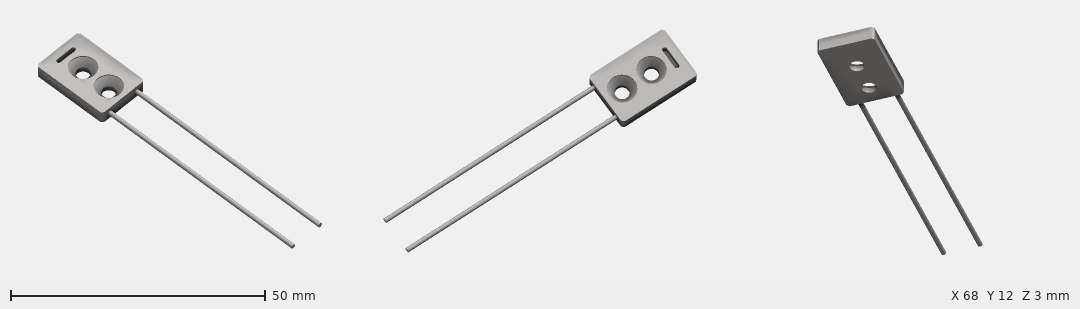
import cadquery as cq

total_length = 68.0
plate_length = 18.0
plate_width = 12.0
plate_thickness = 3.0
corner_chamfer = 0.5

hole_diameter = 3.0
countersink_diameter = 6.0
rim_depth = 0.3
cone_depth = 1.5
first_hole_x = 7.0
hole_spacing = 7.0
hole_count = 2

marker_x = 2.4
marker_width = 1.0
marker_end_spacing = 4.15
marker_slot_depth = 1.5
marker_hole_depth = 2.0

lead_diameter = 1.0
lead_spacing = 7.6
lead_offset_y = -0.1
lead_length = total_length - plate_length


def screw_hole_cutter(x):
    """Solid of revolution: straight rim, cone, then a through hole."""
    hole_radius = hole_diameter / 2
    countersink_radius = countersink_diameter / 2
    cone_top = plate_thickness - rim_depth
    cone_bottom = cone_top - cone_depth
    profile = (
        cq.Workplane("XZ")
        .moveTo(0, 0)
        .lineTo(hole_radius, 0)
        .lineTo(hole_radius, cone_bottom)
        .lineTo(countersink_radius, cone_top)
        .lineTo(countersink_radius, plate_thickness)
        .lineTo(0, plate_thickness)
        .close()
    )
    return profile.revolve(360, (0, 0, 0), (0, 1, 0)).translate((x, 0, 0))


def marker_cutter():
    """Slot across the plate, with a deeper blind hole at the centre of each round end."""
    top = cq.Workplane("XY", origin=(marker_x, 0, plate_thickness))
    slot_length = marker_end_spacing + marker_width
    slot = top.slot2D(slot_length, marker_width, 90).extrude(-marker_slot_depth)
    holes = (
        top.rarray(0.7, marker_end_spacing, 1, 2)
        .circle(marker_width / 2)
        .extrude(-marker_hole_depth)
    )
    return slot.union(holes)


def make_plate():
    """Flat plate with chamfered corners, its left end at X = 0 and its bottom at Z = 0."""
    plate = (
        cq.Workplane("XY")
        .box(plate_length, plate_width, plate_thickness, centered=(False, True, False))
        .edges("|Z")
        .chamfer(corner_chamfer)
    )
    for index in range(hole_count):
        plate = plate.cut(screw_hole_cutter(first_hole_x + index * hole_spacing))
    return plate.cut(marker_cutter())


def make_lead(y):
    """Round wire that starts on the plate's right end face, at mid-thickness."""
    start = (plate_length, y, plate_thickness / 2)
    return cq.Workplane("YZ", origin=start).circle(lead_diameter / 2).extrude(lead_length)


plate = make_plate()
leads = []
for side in (-1, 1):
    leads.append(make_lead(lead_offset_y + side * lead_spacing / 2).val())

result = cq.Compound.makeCompound([plate.val(), *leads])